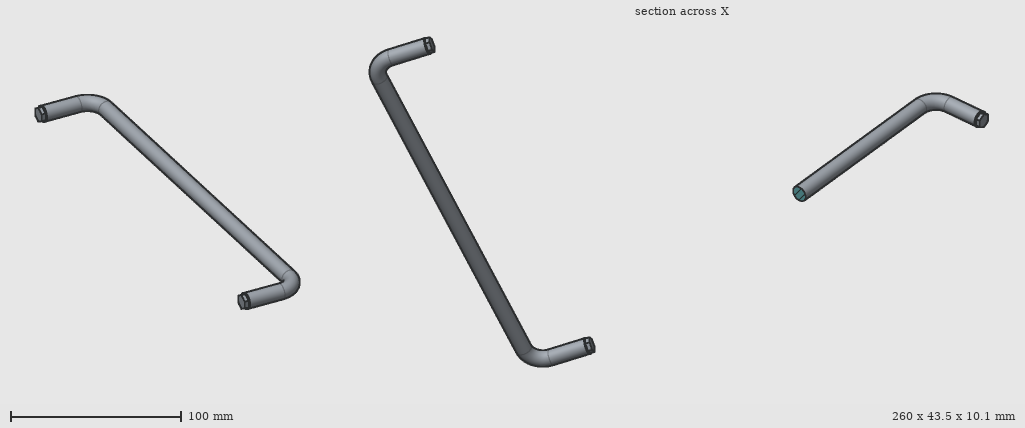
import cadquery as cq

overall_length = 260.0
overall_depth = 43.5

rod_diameter = 10.0
collar_diameter = 10.1
collar_length = 0.5
tip_length = 2.5
tip_corner_diameter = 9.4
bend_radius = 12.2

leg_x = (overall_length - collar_diameter) / 2
bar_y = overall_depth - rod_diameter / 2
collar_y = tip_length
leg_start_y = collar_y + collar_length
bend_start_y = bar_y - bend_radius
bend_start_x = leg_x - bend_radius


def build_rod():
    """Sweep the round section along one leg, the long bar and the other leg."""
    path = (
        cq.Workplane("XY")
        .moveTo(-leg_x, leg_start_y)
        .lineTo(-leg_x, bend_start_y)
        .tangentArcPoint((-bend_start_x, bar_y), relative=False)
        .lineTo(bend_start_x, bar_y)
        .tangentArcPoint((leg_x, bend_start_y), relative=False)
        .lineTo(leg_x, leg_start_y)
    )
    section = cq.Workplane("XZ", origin=(-leg_x, leg_start_y, 0)).circle(rod_diameter / 2)
    return section.sweep(path)


def build_leg_end(x):
    """Make the collar and the hexagonal tip, with hexagon corners pointing along Z."""
    collar = (
        cq.Workplane("XZ", origin=(x, leg_start_y, 0))
        .circle(collar_diameter / 2)
        .extrude(collar_length)
    )
    tip = (
        cq.Workplane("XZ", origin=(x, collar_y, 0))
        .transformed(rotate=(0, 0, 90))
        .polygon(6, tip_corner_diameter)
        .extrude(tip_length)
    )
    return collar.union(tip)


result = build_rod()
for end_x in (-leg_x, leg_x):
    result = result.union(build_leg_end(end_x))